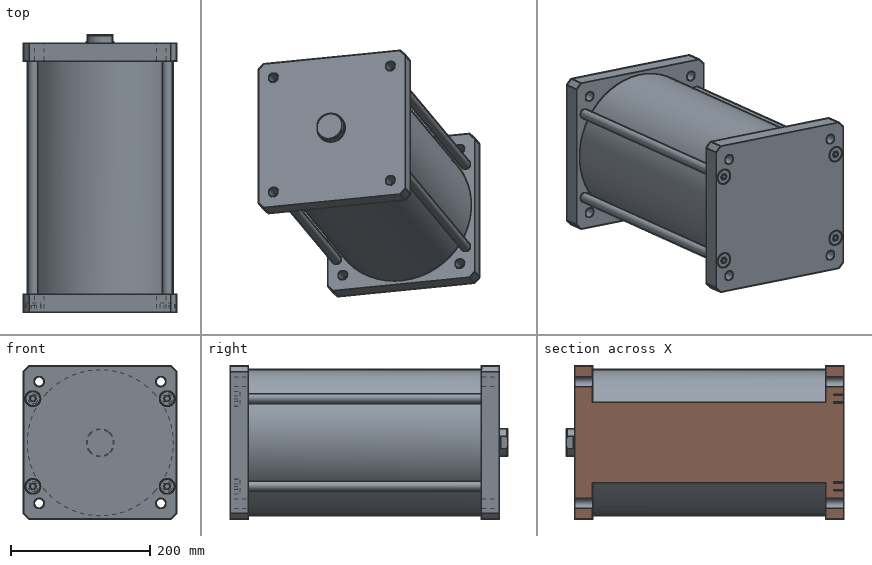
import cadquery as cq
import math


PLATE_SIZE = 220.0
PLATE_THICKNESS = 26.0
CORNER_RADIUS = 150.0
MOUNT_HOLE_DIAMETER = 13.84
MOUNT_HOLE_PITCH = 175.0

BARREL_DIAMETER = 210.0
OVERALL_LENGTH = 399.0
STUB_LENGTH = 12.0
BODY_LENGTH = OVERALL_LENGTH - STUB_LENGTH
REAR_PLATE_Y = BODY_LENGTH - PLATE_THICKNESS
BARREL_LENGTH = REAR_PLATE_Y - PLATE_THICKNESS

ROD_DIAMETER = 14.0
ROD_PITCH_X = 193.0
ROD_PITCH_Z = 126.0
COUNTERBORE_DIAMETER = 22.0
HEAD_DIAMETER = 21.0
HEAD_HEIGHT = 14.0
SOCKET_ACROSS_FLATS = 8.0
SOCKET_DEPTH = 10.0

STUB_DIAMETER = 40.0
STUB_ACROSS_FLATS = 36.0
STUB_CHAMFER_LENGTH = 1.7
STUB_CHAMFER_DEPTH = 1.0
FLAT_START = 1.5


def sketch_plane(y):
    """XZ plane at station y whose extrusions grow toward +Y (local y is -Z)."""
    return cq.Workplane(cq.Plane(origin=(0, y, 0), xDir=(1, 0, 0), normal=(0, 1, 0)))


def rectangle_points(pitch_x, pitch_z):
    """Four points at the corners of a centred rectangle."""
    return [(i * pitch_x / 2, j * pitch_z / 2) for i in (-1, 1) for j in (-1, 1)]


def end_plate(y):
    """Square plate with turned-off corners and four through mounting holes."""
    square = sketch_plane(y).rect(PLATE_SIZE, PLATE_SIZE).extrude(PLATE_THICKNESS)
    turned = sketch_plane(y).circle(CORNER_RADIUS).extrude(PLATE_THICKNESS)
    holes = (
        sketch_plane(y)
        .pushPoints(rectangle_points(MOUNT_HOLE_PITCH, MOUNT_HOLE_PITCH))
        .circle(MOUNT_HOLE_DIAMETER / 2)
        .extrude(PLATE_THICKNESS)
    )
    return square.intersect(turned).cut(holes)


def barrel():
    """Round barrel between the two plates."""
    return sketch_plane(PLATE_THICKNESS).circle(BARREL_DIAMETER / 2).extrude(BARREL_LENGTH)


def tie_rods():
    """Four rods spanning the gap between the plates."""
    return (
        sketch_plane(PLATE_THICKNESS)
        .pushPoints(rectangle_points(ROD_PITCH_X, ROD_PITCH_Z))
        .circle(ROD_DIAMETER / 2)
        .extrude(BARREL_LENGTH)
    )


def screw_clearances():
    """Ring gap around each flush screw head, plus its hexagon socket."""
    points = rectangle_points(ROD_PITCH_X, ROD_PITCH_Z)
    gaps = (
        sketch_plane(0)
        .pushPoints(points)
        .circle(COUNTERBORE_DIAMETER / 2)
        .circle(HEAD_DIAMETER / 2)
        .extrude(HEAD_HEIGHT)
    )
    socket_corners = SOCKET_ACROSS_FLATS / math.cos(math.pi / 6)
    sockets = sketch_plane(0).pushPoints(points).polygon(6, socket_corners).extrude(SOCKET_DEPTH)
    return gaps.union(sockets)


def piston_rod_end():
    """Chamfered round stub with two wrench flats facing -X and +X."""
    stub = (
        sketch_plane(BODY_LENGTH)
        .circle(STUB_DIAMETER / 2)
        .extrude(STUB_LENGTH)
        .faces(">Y")
        .chamfer(STUB_CHAMFER_LENGTH, STUB_CHAMFER_DEPTH)
    )
    collar = sketch_plane(BODY_LENGTH).circle(STUB_DIAMETER / 2).extrude(FLAT_START)
    flats = sketch_plane(BODY_LENGTH).rect(STUB_ACROSS_FLATS, STUB_DIAMETER).extrude(STUB_LENGTH)
    return stub.intersect(flats.union(collar))


front_plate = end_plate(0).cut(screw_clearances())
rear_plate = end_plate(REAR_PLATE_Y)
result = front_plate.union(barrel()).union(tie_rods()).union(rear_plate).union(piston_rod_end())